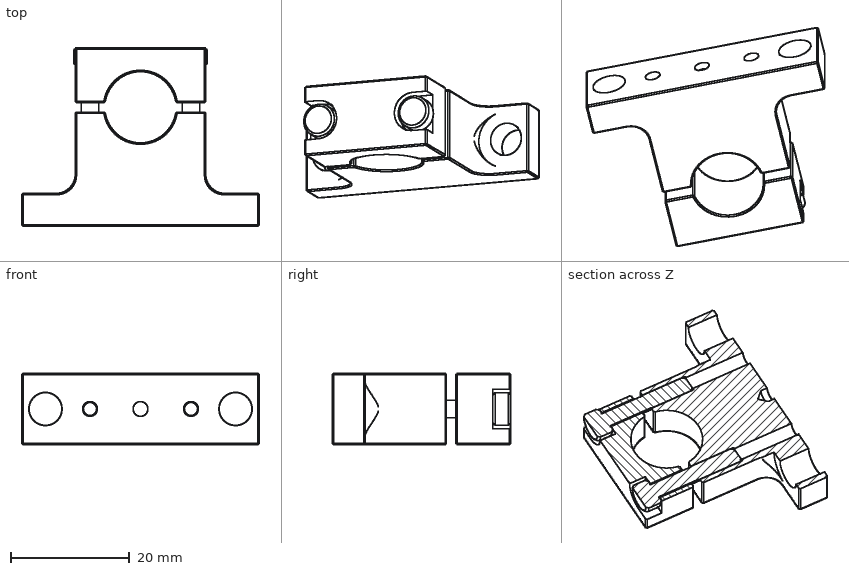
import cadquery as cq

base_length = 40.0
total_height = 30.0
thickness = 12.0
edge_chamfer = 0.25

flange_height = 5.5
block_width = 22.0
corner_radius = 3.1

bore_diameter = 12.0
bore_height = 20.0
clamp_gap = 1.6
base_top = bore_height - clamp_gap / 2
cap_bottom = bore_height + clamp_gap / 2

mount_hole_spacing = 32.0
mount_hole_diameter = 5.5
head_clearance_diameter = 9.75

pilot_diameter = 2.5
pilot_depth = 1.2
pilot_tip_height = pilot_diameter / 2

screw_spacing = 17.0
shank_diameter = 3.0
shank_length = 16.0
cap_hole_diameter = 3.2
tip_chamfer = 0.4
head_diameter = 5.5
head_height = 3.0
head_chamfer = 0.4
head_slot_width = 6.6
core_hole_diameter = pilot_diameter
head_seat = total_height - head_height
screw_tip = head_seat - shank_length


def mirrored(spacing):
    """X positions of a pair of features either side of the middle."""
    return (-spacing / 2, spacing / 2)


def cylinder_y(diameter, x, y_start, y_end):
    """Cylinder along +Y, centred on Z = 0."""
    return cq.Workplane(
        cq.Solid.makeCylinder(diameter / 2, y_end - y_start, cq.Vector(x, y_start, 0), cq.Vector(0, 1, 0))
    )


def block(width, y_start, y_end):
    """Block of full thickness, centred on X = 0 and Z = 0."""
    return cq.Workplane("XY").box(width, y_end - y_start, thickness).translate((0, (y_start + y_end) / 2, 0))


def shaft_bore():
    return cq.Workplane("XY").center(0, bore_height).circle(bore_diameter / 2).extrude(thickness, both=True)


def inner_corners():
    """Selector for the two edges where the upright block meets the flange."""
    reach = 0.2
    return cq.selectors.BoxSelector(
        (-block_width / 2 - reach, flange_height - reach, -thickness),
        (block_width / 2 + reach, flange_height + reach, thickness),
    )


def base_blank():
    blank = block(base_length, 0, flange_height).union(block(block_width, 0, base_top)).cut(shaft_bore())
    upright_edges = cq.selectors.StringSyntaxSelector("|Z")
    blank = blank.edges(cq.selectors.SubtractSelector(upright_edges, inner_corners())).chamfer(edge_chamfer)
    blank = blank.edges("|Z").edges(inner_corners()).fillet(corner_radius)
    return blank.faces(">Z or <Z").edges().chamfer(edge_chamfer)


def pilot_hole():
    """Drilled hole with a conical end."""
    radius = pilot_diameter / 2
    profile = (
        cq.Workplane("XY")
        .moveTo(0, 0)
        .lineTo(radius, 0)
        .lineTo(radius, pilot_depth)
        .lineTo(0, pilot_depth + pilot_tip_height)
        .close()
    )
    return profile.revolve(360, (0, 0, 0), (0, 1, 0))


def make_base():
    base = base_blank().cut(pilot_hole())
    for x in mirrored(mount_hole_spacing):
        base = base.cut(cylinder_y(mount_hole_diameter, x, 0, flange_height))
        base = base.cut(cylinder_y(head_clearance_diameter, x, flange_height, base_top))
    for x in mirrored(screw_spacing):
        base = base.cut(cylinder_y(core_hole_diameter, x, 0, screw_tip))
        base = base.cut(cylinder_y(shank_diameter, x, screw_tip, base_top))
    return base


def head_slot(x):
    """Round-ended slot for a screw head, open to the nearer side of the cap."""
    side = 1 if x > 0 else -1
    opening = cq.Workplane("XY").box(block_width / 2, head_height, head_slot_width)
    opening = opening.translate((x + side * block_width / 4, head_seat + head_height / 2, 0))
    return cylinder_y(head_slot_width, x, head_seat, total_height).union(opening)


def make_cap():
    cap = block(block_width, cap_bottom, total_height).cut(shaft_bore())
    cap = cap.edges("|Z").chamfer(edge_chamfer)
    cap = cap.faces(">Z or <Z").edges().chamfer(edge_chamfer)
    for x in mirrored(screw_spacing):
        cap = cap.cut(head_slot(x))
        cap = cap.cut(cylinder_y(cap_hole_diameter, x, cap_bottom, head_seat))
    return cap


def make_screw(x):
    head = cylinder_y(head_diameter, x, head_seat, total_height).edges().chamfer(head_chamfer)
    shank = cylinder_y(shank_diameter, x, screw_tip, head_seat).faces("<Y").edges().chamfer(tip_chamfer)
    return head.union(shank)


base = make_base()
cap = make_cap()
screws = [make_screw(x).val() for x in mirrored(screw_spacing)]

result = cq.Compound.makeCompound([base.val(), cap.val(), *screws])